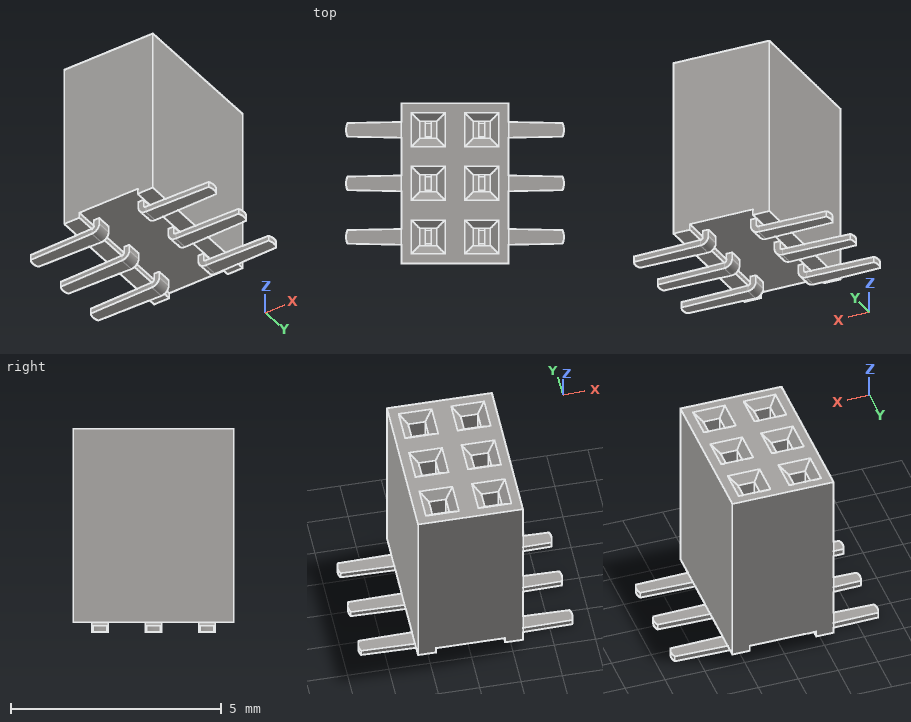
import cadquery as cq

PITCH = 1.27
COLUMNS = 2
ROWS = 3

OVERALL_HEIGHT = 4.83
LEAD_SPAN = 5.18

HOUSING_WIDTH = COLUMNS * PITCH
HOUSING_LENGTH = ROWS * PITCH
STANDOFF = 0.23
CHANNEL_WIDTH = 1.67
CHANNEL_DEPTH = 0.15
CHANNEL_CEILING = STANDOFF + CHANNEL_DEPTH

SOCKET_SIZE = 0.41
FUNNEL_SIZE = 0.80
FUNNEL_DEPTH = (FUNNEL_SIZE - SOCKET_SIZE) / 2
SOCKET_DEPTH = 3.0
SOCKET_FLOOR = OVERALL_HEIGHT - SOCKET_DEPTH

METAL_THICKNESS = 0.15
LEAD_ROOT_WIDTH = 0.40
LEAD_TIP_WIDTH = 0.33
TIP_BULGE = 0.04
BEND_INNER_RADIUS = 0.06
BEND_OUTER_RADIUS = BEND_INNER_RADIUS + METAL_THICKNESS
FORK_HEIGHT = 0.50
FORK_NOTCH_DEPTH = 0.20
FORK_NOTCH_WIDTH = 0.32
EMBED = 0.10

column_positions = [(i - (COLUMNS - 1) / 2) * PITCH for i in range(COLUMNS)]
row_positions = [(i - (ROWS - 1) / 2) * PITCH for i in range(ROWS)]
contact_positions = [(x, y) for x in column_positions for y in row_positions]


def make_housing():
    """Rectangular block with a channel along the underside."""
    height = OVERALL_HEIGHT - STANDOFF
    block = (
        cq.Workplane("XY")
        .workplane(offset=STANDOFF)
        .box(HOUSING_WIDTH, HOUSING_LENGTH, height, centered=(True, True, False))
    )
    channel = (
        cq.Workplane("XY")
        .workplane(offset=STANDOFF)
        .box(CHANNEL_WIDTH, HOUSING_LENGTH, CHANNEL_DEPTH, centered=(True, True, False))
    )
    return block.cut(channel)


def make_socket():
    """Square socket with a funnel mouth, centred on the Z axis, as a cutter."""
    shaft = (
        cq.Workplane("XY")
        .workplane(offset=SOCKET_FLOOR)
        .rect(SOCKET_SIZE, SOCKET_SIZE)
        .extrude(SOCKET_DEPTH)
    )
    funnel = (
        cq.Workplane("XY")
        .workplane(offset=OVERALL_HEIGHT)
        .rect(FUNNEL_SIZE, FUNNEL_SIZE)
        .workplane(offset=-FUNNEL_DEPTH)
        .rect(SOCKET_SIZE, SOCKET_SIZE)
        .loft(ruled=True)
    )
    return shaft.union(funnel)


def make_fork():
    """Blade across the socket with a notch in its top edge, flared at the mouth."""
    half_socket = SOCKET_SIZE / 2
    half_blade = half_socket + EMBED
    half_notch = FORK_NOTCH_WIDTH / 2
    bottom = SOCKET_FLOOR - EMBED
    top = SOCKET_FLOOR + FORK_HEIGHT
    notch_bottom = top - FORK_NOTCH_DEPTH
    lead_in_bottom = top - (half_socket - half_notch)
    outline = [
        (-half_blade, bottom),
        (half_blade, bottom),
        (half_blade, top),
        (half_socket, top),
        (half_notch, lead_in_bottom),
        (half_notch, notch_bottom),
        (-half_notch, notch_bottom),
        (-half_notch, lead_in_bottom),
        (-half_socket, top),
        (-half_blade, top),
    ]
    return (
        cq.Workplane("YZ")
        .polyline(outline)
        .close()
        .extrude(METAL_THICKNESS / 2, both=True)
    )


def make_lead():
    """Lead of the +X column: a post bent outward into a tapered foot, at Y = 0."""
    post_center = PITCH / 2
    post_inner = post_center - METAL_THICKNESS / 2
    post_outer = post_center + METAL_THICKNESS / 2
    post_top = CHANNEL_CEILING + EMBED
    foot_start = post_inner + BEND_OUTER_RADIUS
    tip = LEAD_SPAN / 2
    tip_shoulder = tip - TIP_BULGE
    half_root = LEAD_ROOT_WIDTH / 2
    half_tip = LEAD_TIP_WIDTH / 2

    side_profile = (
        cq.Workplane("XZ")
        .moveTo(post_inner, post_top)
        .lineTo(post_inner, BEND_OUTER_RADIUS)
        .radiusArc((foot_start, 0), -BEND_OUTER_RADIUS)
        .lineTo(tip, 0)
        .lineTo(tip, METAL_THICKNESS)
        .lineTo(foot_start, METAL_THICKNESS)
        .radiusArc((post_outer, BEND_OUTER_RADIUS), BEND_INNER_RADIUS)
        .lineTo(post_outer, post_top)
        .close()
        .extrude(half_root, both=True)
    )
    plan_profile = (
        cq.Workplane("XY")
        .moveTo(post_inner, -half_root)
        .lineTo(foot_start, -half_root)
        .lineTo(tip_shoulder, -half_tip)
        .threePointArc((tip, 0), (tip_shoulder, half_tip))
        .lineTo(foot_start, half_root)
        .lineTo(post_inner, half_root)
        .close()
        .extrude(post_top)
    )
    return side_profile.intersect(plan_profile)


result = make_housing()
socket = make_socket()
fork = make_fork()
for x, y in contact_positions:
    result = result.cut(socket.translate((x, y, 0)))
    result = result.union(fork.translate((x, y, 0)))

right_lead = make_lead()
left_lead = right_lead.mirror("YZ")
for y in row_positions:
    result = result.union(right_lead.translate((0, y, 0)))
    result = result.union(left_lead.translate((0, y, 0)))